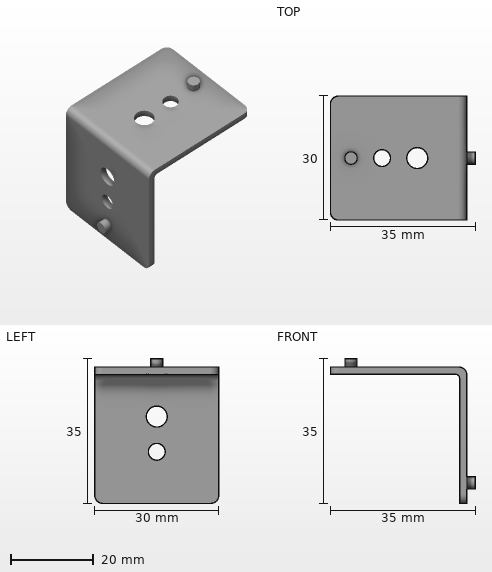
import cadquery as cq

leg_length = 33.0
width = 30.0
thickness = 1.8
outer_bend_radius = 2.0
inner_bend_radius = 1.0
corner_radius = 2.0

pin_diameter = 3.0
pin_height = 2.0

pin_offset = 5.0
small_hole_offset = 12.5
small_hole_diameter = 4.0
large_hole_offset = 21.0
large_hole_diameter = 5.0

holes = [
    (small_hole_offset, small_hole_diameter),
    (large_hole_offset, large_hole_diameter),
]

outer_face = leg_length
inner_face = leg_length - thickness


def make_bent_sheet():
    """L-shaped sheet with a rounded bend and rounded free corners."""
    profile = (
        cq.Workplane("XZ")
        .moveTo(0, outer_face)
        .lineTo(outer_face - outer_bend_radius, outer_face)
        .radiusArc((outer_face, outer_face - outer_bend_radius), outer_bend_radius)
        .lineTo(outer_face, 0)
        .lineTo(inner_face, 0)
        .lineTo(inner_face, inner_face - inner_bend_radius)
        .radiusArc((inner_face - inner_bend_radius, inner_face), -inner_bend_radius)
        .lineTo(0, inner_face)
        .close()
    )
    sheet = profile.extrude(width / 2, both=True)
    sheet = sheet.edges("|Z and <X").fillet(corner_radius)
    return sheet.edges("|X and <Z").fillet(corner_radius)


def top_leg_cylinder(offset, diameter, base, height):
    """Vertical cylinder standing at the given offset along the top leg."""
    plane = cq.Workplane("XY", origin=(offset, 0, base))
    return plane.circle(diameter / 2).extrude(height)


def side_leg_cylinder(offset, diameter, base, height):
    """Cylinder along X at the given offset along the side leg."""
    plane = cq.Workplane("YZ", origin=(base, 0, offset))
    return plane.circle(diameter / 2).extrude(height)


result = make_bent_sheet()

for leg_cylinder in (top_leg_cylinder, side_leg_cylinder):
    for hole_offset, hole_diameter in holes:
        result = result.cut(leg_cylinder(hole_offset, hole_diameter, inner_face, thickness))
    result = result.union(leg_cylinder(pin_offset, pin_diameter, outer_face, pin_height))